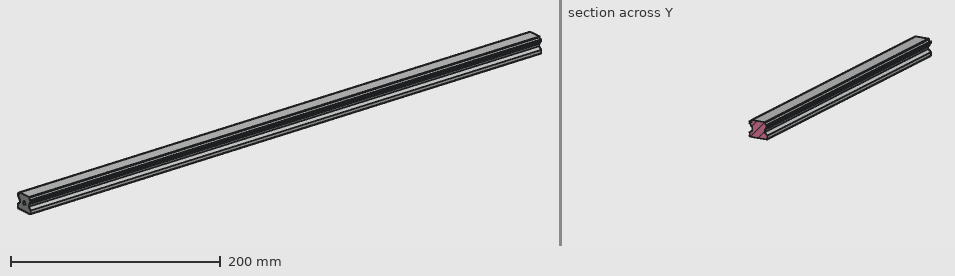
import cadquery as cq

length = 620.0
width = 20.0
height = 17.5

foot_chamfer = 1.0
foot_side_top = 4.4
foot_slope_top = 7.25

neck_width = 14.0
neck_top = 9.6

undercut_width = 17.0
undercut_bottom = 11.2
head_side_bottom = 13.5
head_side_top = 15.4
groove_top_width = 15.8
groove_top = 16.9
top_width = 14.5

undercut_hollow = 0.1
groove_hollow = 0.5

bore_diameter = 3.6
bore_depth = 10.0


def hollow_point(lower, upper, hollow):
    """Deepest point of an arc that sinks into the right side between two points."""
    run = upper[0] - lower[0]
    rise = upper[1] - lower[1]
    middle_x = (lower[0] + upper[0]) / 2
    middle_z = (lower[1] + upper[1]) / 2
    return (middle_x - hollow * rise, middle_z + hollow * run)


def mirrored(point):
    """The matching point on the left side."""
    return (-point[0], point[1])


def rail_body():
    """Symmetric profile drawn up the right side, across the top and down the left."""
    bottom_corner = (width / 2 - foot_chamfer, 0)
    foot_and_neck = [
        (width / 2, foot_chamfer),
        (width / 2, foot_side_top),
        (neck_width / 2, foot_slope_top),
        (neck_width / 2, neck_top),
    ]
    undercut_start = (undercut_width / 2, undercut_bottom)
    head_low = (width / 2, head_side_bottom)
    head_high = (width / 2, head_side_top)
    groove_end = (groove_top_width / 2, groove_top)
    top_corner = (top_width / 2, height)

    undercut_middle = hollow_point(undercut_start, head_low, undercut_hollow)
    groove_middle = hollow_point(head_high, groove_end, groove_hollow)

    profile = cq.Workplane("XZ", origin=(0, 0, -height / 2)).moveTo(*bottom_corner)
    for point in foot_and_neck + [undercut_start]:
        profile = profile.lineTo(*point)
    profile = (
        profile.threePointArc(undercut_middle, head_low)
        .lineTo(*head_high)
        .threePointArc(groove_middle, groove_end)
        .lineTo(*top_corner)
        .lineTo(*mirrored(top_corner))
        .lineTo(*mirrored(groove_end))
        .threePointArc(mirrored(groove_middle), mirrored(head_high))
        .lineTo(*mirrored(head_low))
        .threePointArc(mirrored(undercut_middle), mirrored(undercut_start))
    )
    for point in reversed(foot_and_neck):
        profile = profile.lineTo(*mirrored(point))
    profile = profile.lineTo(*mirrored(bottom_corner)).close()
    return profile.extrude(length / 2, both=True)


def end_bore():
    """Cutter that enters the front end face and runs along +Y."""
    front_end = cq.Workplane("XZ", origin=(0, -length / 2, 0))
    return front_end.circle(bore_diameter / 2).extrude(-bore_depth)


result = rail_body().cut(end_bore())